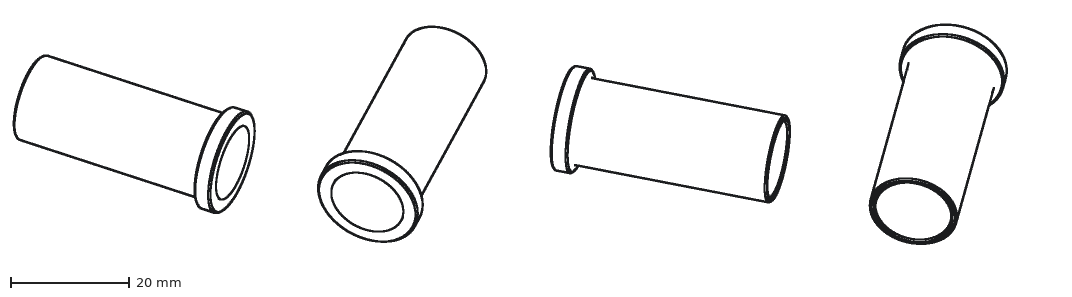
import cadquery as cq

length = 37.5
tube_diameter = 15.0
bore_diameter = 13.0
flange_diameter = 18.0
flange_thickness = 3.0
tube_chamfer = 0.3
flange_chamfer = 0.3
bore_chamfer = 0.3
root_fillet = 0.4

tube_radius = tube_diameter / 2
bore_radius = bore_diameter / 2
flange_radius = flange_diameter / 2
flange_start = length - flange_thickness


def bushing_body():
    """Revolve the half section of the flanged tube about the X axis."""
    section = (
        cq.Workplane("XY")
        .moveTo(0, bore_radius + bore_chamfer)
        .lineTo(0, tube_radius - tube_chamfer)
        .lineTo(tube_chamfer, tube_radius)
        .lineTo(flange_start - root_fillet, tube_radius)
        .radiusArc((flange_start, tube_radius + root_fillet), -root_fillet)
        .lineTo(flange_start, flange_radius - flange_chamfer)
        .lineTo(flange_start + flange_chamfer, flange_radius)
        .lineTo(length - flange_chamfer, flange_radius)
        .lineTo(length, flange_radius - flange_chamfer)
        .lineTo(length, bore_radius)
        .lineTo(bore_chamfer, bore_radius)
        .close()
    )
    return section.revolve(360, (0, 0, 0), (1, 0, 0))


result = bushing_body()